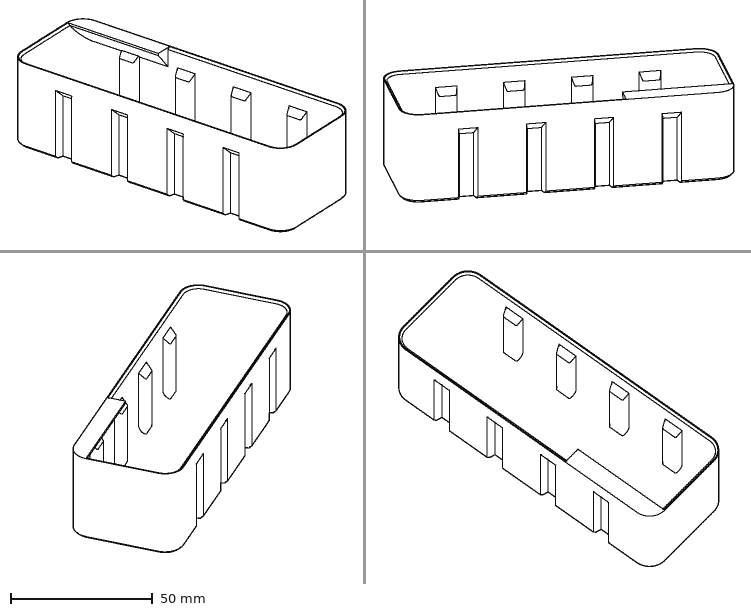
import cadquery as cq
import math

LENGTH = 120.5
WIDTH = 41.2
HEIGHT = 33.7
CORNER_RADIUS = 7.0
WALL = 1.2
FLOOR = 1.0
FLOOR_FILLET = 4.0
BOTTOM_CHAMFER = 1.0
RIM_CHAMFER = 0.8

GROOVE_COUNT = 4
GROOVE_PITCH = 24.5
GROOVE_WIDTH = 7.0
GROOVE_DEPTH = 3.1
GROOVE_TOP = 27.2
GROOVE_TIP_WIDTH = 5.1
RIB_SKIN = 0.6
RIB_WIDTH = 8.5
RIB_TIP_WIDTH = 6.1
RIB_EDGE_RADIUS = 0.6

TAB_LENGTH = 40.0
TAB_WIDTH = 7.0
TAB_EDGE = 0.8
TAB_WALL_HEIGHT = 7.7

LEFT = -LENGTH / 2
FRONT = -WIDTH / 2
BACK = WIDTH / 2


def outer_body():
    """Rounded block with a chamfered bottom edge."""
    block = cq.Workplane("XY").box(LENGTH, WIDTH, HEIGHT, centered=(True, True, False))
    return block.edges("|Z").fillet(CORNER_RADIUS).faces("<Z").chamfer(BOTTOM_CHAMFER)


def cavity():
    """Inside space: rounded floor edge and a flare that chamfers the rim."""
    inner_length = LENGTH - 2 * WALL
    inner_width = WIDTH - 2 * WALL
    inside = (
        cq.Workplane("XY", origin=(0, 0, FLOOR))
        .box(inner_length, inner_width, HEIGHT - FLOOR, centered=(True, True, False))
        .edges("|Z").fillet(CORNER_RADIUS - WALL)
        .faces("<Z").edges().fillet(FLOOR_FILLET)
    )
    rim_outline = cq.Sketch().rect(inner_length, inner_width).vertices().fillet(CORNER_RADIUS - WALL)
    flare = (
        cq.Workplane("XY", origin=(0, 0, HEIGHT - RIM_CHAMFER))
        .placeSketch(rim_outline)
        .extrude(RIM_CHAMFER, taper=-45)
    )
    return inside.union(flare)


def tapered_bar(x, mouth_width, tip_width, depth, mouth_top):
    """Bar entering the front wall at x, narrowing with depth, its top sloping down at 45 degrees."""
    tip_face = FRONT + depth
    plan = [
        (x - mouth_width / 2, FRONT),
        (x + mouth_width / 2, FRONT),
        (x + tip_width / 2, tip_face),
        (x - tip_width / 2, tip_face),
    ]
    profile = [(FRONT, 0), (FRONT, mouth_top), (tip_face, mouth_top - depth), (tip_face, 0)]
    bar = cq.Workplane("XY").polyline(plan).close().extrude(HEIGHT)
    side = cq.Workplane("YZ", origin=(x, 0, 0)).polyline(profile).close().extrude(mouth_width, both=True)
    return bar, side


def groove_cutter(x):
    """Groove open to the outside and to the bottom."""
    bar, side = tapered_bar(x, GROOVE_WIDTH, GROOVE_TIP_WIDTH, GROOVE_DEPTH, GROOVE_TOP)
    return bar.intersect(side)


def rib_bar(x):
    """Bar deeper and taller than the groove by the rib skin, with its two inner upright edges rounded."""
    top = GROOVE_TOP + RIB_SKIN * math.sqrt(2)
    bar, side = tapered_bar(x, RIB_WIDTH, RIB_TIP_WIDTH, GROOVE_DEPTH + RIB_SKIN, top)
    return bar.edges("|Z and >Y").fillet(RIB_EDGE_RADIUS).intersect(side)


def label_tab():
    """Flat tab level with the rim, with a sloping underside down to the back wall."""
    tab_front = BACK - TAB_WIDTH
    profile = [
        (BACK, HEIGHT),
        (tab_front, HEIGHT),
        (tab_front, HEIGHT - TAB_EDGE),
        (BACK - WALL, HEIGHT - TAB_WALL_HEIGHT),
        (BACK, HEIGHT - TAB_WALL_HEIGHT),
    ]
    return cq.Workplane("YZ", origin=(LEFT, 0, 0)).polyline(profile).close().extrude(TAB_LENGTH)


body = outer_body()
result = body.cut(cavity()).union(label_tab().intersect(body))

for index in range(GROOVE_COUNT):
    groove_x = (index - (GROOVE_COUNT - 1) / 2) * GROOVE_PITCH
    rib = rib_bar(groove_x).intersect(body)
    groove = groove_cutter(groove_x)
    result = result.union(rib).union(rib.mirror("XZ"))
    result = result.cut(groove).cut(groove.mirror("XZ"))